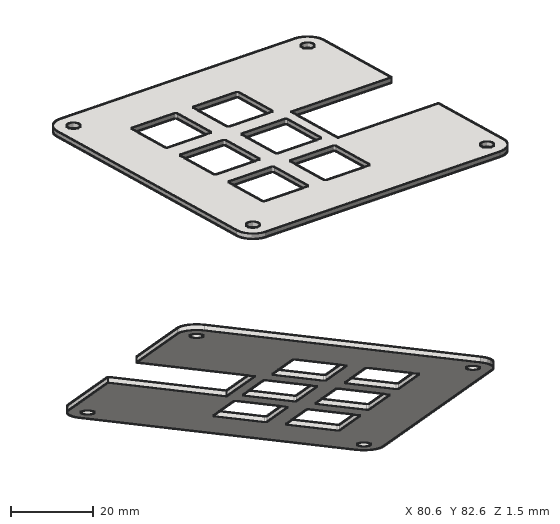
import cadquery as cq

plate_width = 80.6
plate_length = 82.6
plate_thickness = 1.5
corner_radius = 5.0

screw_hole_diameter = 3.4
screw_spacing_x = plate_width - 2 * corner_radius
screw_spacing_y = plate_length - 2 * corner_radius

key_columns = 3
key_rows = 2
key_pitch = 19.1
key_window_side = 14.05
key_window_radius = 0.5
key_grid_center = (0.6, -9.7)

notch_width = 18.4
notch_depth = 31.1
notch_center_x = 0.6


def make_plate():
    """Flat plate with rounded vertical corners."""
    plate = cq.Workplane("XY").rect(plate_width, plate_length).extrude(plate_thickness)
    return plate.edges("|Z").fillet(corner_radius)


def make_screw_holes():
    """One cylinder through each corner of the plate."""
    corners = cq.Workplane("XY").rect(screw_spacing_x, screw_spacing_y, forConstruction=True).vertices()
    return corners.circle(screw_hole_diameter / 2).extrude(plate_thickness)


def make_key_windows():
    """Grid of square prisms with slightly rounded corners."""
    grid = cq.Workplane("XY").center(*key_grid_center).rarray(key_pitch, key_pitch, key_columns, key_rows)
    windows = grid.rect(key_window_side, key_window_side).extrude(plate_thickness)
    return windows.edges("|Z").fillet(key_window_radius)


def make_notch():
    """Square-cornered block reaching inward from the +Y edge."""
    notch_center_y = (plate_length - notch_depth) / 2
    notch = cq.Workplane("XY").center(notch_center_x, notch_center_y)
    return notch.rect(notch_width, notch_depth).extrude(plate_thickness)


result = make_plate().cut(make_screw_holes()).cut(make_key_windows()).cut(make_notch())